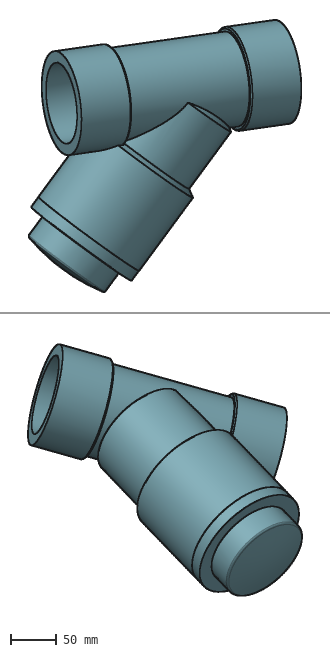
import cadquery as cq
import math

heading_angle = -5.4

run_length = 262.0
pipe_diameter = 106.0
bore_diameter = 80.0
collar_diameter = 116.0
collar_length = 60.0
collar_chamfer = 1.8
socket_diameter = 90.0
socket_depth = 52.5

branch_angle = 50.2
branch_offset = 33.0
neck_diameter = 119.5
neck_start = 22.0
barrel_diameter = 138.0
barrel_start = 105.5
barrel_end = 205.5
shoulder_angle = 30.0

flange_diameter = 137.5
flange_thickness = 13.8
knob_diameter = 105.0
knob_length = 28.5
knob_fillet = 2.0
dome_height = 6.0

collar_start = run_length / 2 - collar_length
socket_start = run_length / 2 - socket_depth

shoulder_slope = math.tan(math.radians(shoulder_angle))

branch_direction = cq.Vector(
    0, -math.cos(math.radians(branch_angle)), -math.sin(math.radians(branch_angle))
)
branch_origin = cq.Vector(0, branch_offset, 0)


def cylinder(diameter, length, base, direction):
    """Solid cylinder starting at base and running along direction."""
    return cq.Workplane(cq.Solid.makeCylinder(diameter / 2, length, base, direction))


def along_run(diameter, start, length, side):
    """Cylinder on the pipe axis, running outward toward +Y (side 1) or -Y (side -1)."""
    return cylinder(diameter, length, cq.Vector(0, side * start, 0), cq.Vector(0, side, 0))


def branch_stage(diameter, start, end):
    """Cylinder on the branch axis with a cone on its inner end, tapering toward the pipe."""
    cone_height = diameter / 2 * shoulder_slope
    base = branch_origin + branch_direction * start
    tip = base - branch_direction * cone_height
    cone = cq.Workplane(cq.Solid.makeCone(0, diameter / 2, cone_height, tip, branch_direction))
    return cone.union(cylinder(diameter, end - start, base, branch_direction))


def turn_to_heading(body):
    return body.rotate((0, 0, 0), (0, 0, 1), heading_angle)


def make_housing():
    """Pipe run, end collars and stepped branch, bored through along the run."""
    body = along_run(pipe_diameter, -run_length / 2, run_length, 1)
    for side in (-1, 1):
        collar = along_run(collar_diameter, collar_start, collar_length, side)
        inner_edge = "<Y" if side > 0 else ">Y"
        body = body.union(collar.faces(inner_edge).edges().chamfer(collar_chamfer))

    body = body.union(branch_stage(neck_diameter, neck_start, barrel_end))
    body = body.union(branch_stage(barrel_diameter, barrel_start, barrel_end))

    body = body.cut(along_run(bore_diameter, -run_length / 2, run_length, 1))
    for side in (-1, 1):
        body = body.cut(along_run(socket_diameter, socket_start, socket_depth, side))
    return turn_to_heading(body)


def make_cap():
    """Flange flush with the branch barrel, carrying a round knob with a domed end."""
    flange_radius = flange_diameter / 2
    knob_radius = knob_diameter / 2
    knob_end = flange_thickness + knob_length
    dome_edge_radius = knob_radius - knob_fillet
    fillet_middle = knob_fillet * math.sqrt(0.5)
    sphere_radius = (dome_edge_radius**2 + dome_height**2) / (2 * dome_height)
    sphere_center = knob_end + dome_height - sphere_radius
    half_edge = dome_edge_radius / 2
    half_edge_height = sphere_center + math.sqrt(sphere_radius**2 - half_edge**2)

    axis_plane = cq.Plane(
        origin=branch_origin + branch_direction * barrel_end,
        xDir=(1, 0, 0),
        normal=cq.Vector(1, 0, 0).cross(branch_direction),
    )
    body = (
        cq.Workplane(axis_plane)
        .lineTo(flange_radius, 0)
        .lineTo(flange_radius, flange_thickness)
        .lineTo(knob_radius, flange_thickness)
        .lineTo(knob_radius, knob_end - knob_fillet)
        .threePointArc(
            (dome_edge_radius + fillet_middle, knob_end - knob_fillet + fillet_middle),
            (dome_edge_radius, knob_end),
        )
        .threePointArc((half_edge, half_edge_height), (0, knob_end + dome_height))
        .close()
        .revolve(360, (0, 0), (0, 1))
    )
    return turn_to_heading(body)


housing = make_housing()
cap = make_cap()

result = cq.Compound.makeCompound([housing.val(), cap.val()])